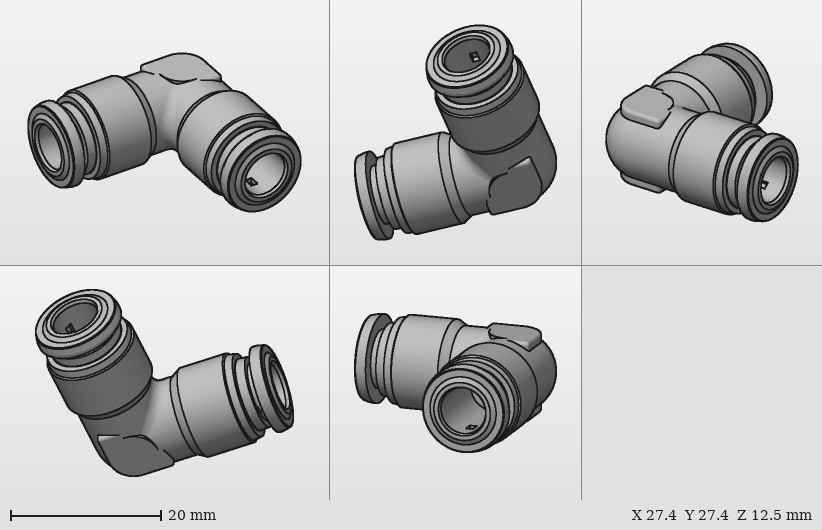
import cadquery as cq

elbow_radius = 5.5
crotch_radius = 1.5
overall_length = 27.35
body_diameter = 12.5
body_radius = body_diameter / 2
port_length = overall_length - body_radius

flare_start = 7.5
flare_end = 8.78
body_end = 15.32
body_chamfer_end = 15.48
body_rim_end = 16.55
gap_width = 0.08
sleeve_start = body_rim_end + gap_width
sleeve_end = 17.97
flange_start = 19.05
flange_taper_start = 19.58
flange_edge_start = 20.57
flange_end = 20.7

rim_start_radius = 6.0
rim_end_radius = 5.8
gap_radius = 4.92
sleeve_start_radius = 5.03
sleeve_end_radius = 4.92
neck_radius = 4.0
flange_radius = 6.0
flange_edge_radius = 5.77
flange_face_radius = 5.65
nose_base_radius = 4.68
nose_tip_radius = neck_radius

bore_radius = 3.17
mouth_radius = 3.36
mouth_depth = 0.5
bore_floor = flare_end
slit_width = 0.95
slit_start = body_rim_end
slit_overrun = 0.15
slit_end = sleeve_end + slit_overrun
lower_port_twist = 40

pad_radius = 3.5
pad_reach = 4.55
pad_round = 0.5


def revolve_about_x(points):
    """Turn a closed outline of (station, radius) points about the X axis."""
    return cq.Workplane("XY").polyline(points).close().revolve(360, (0, 0, 0), (1, 0, 0))


def as_lower_port(shape, twist=0):
    """Move a shape built for the +X port to the -Y port, first twisting it about its axis."""
    twisted = shape.rotate((0, 0, 0), (1, 0, 0), twist)
    return twisted.rotate((0, 0, 0), (0, 0, 1), -90)


def elbow():
    """Two equal round legs joined by a ball, with the inside corner rounded."""
    leg = cq.Workplane("YZ").circle(elbow_radius).extrude(flare_start)
    legs = leg.union(as_lower_port(leg))
    legs = legs.union(cq.Workplane("XY").sphere(elbow_radius))
    inside_corner = cq.selectors.BoxSelector(
        (0, 0, -elbow_radius), (elbow_radius, -elbow_radius, elbow_radius)
    )
    return legs.edges("%ELLIPSE").edges(inside_corner).fillet(crotch_radius)


def port():
    """Stepped outside of one push-in port, along +X."""
    return revolve_about_x([
        (flare_start, 0),
        (flare_start, elbow_radius),
        (flare_end, body_radius),
        (body_end, body_radius),
        (body_chamfer_end, rim_start_radius),
        (body_rim_end, rim_end_radius),
        (body_rim_end, gap_radius),
        (sleeve_start, gap_radius),
        (sleeve_start, sleeve_start_radius),
        (sleeve_end, sleeve_end_radius),
        (sleeve_end, neck_radius),
        (flange_start, neck_radius),
        (flange_start, flange_radius),
        (flange_taper_start, flange_radius),
        (flange_edge_start, flange_edge_radius),
        (flange_end, flange_face_radius),
        (flange_end, nose_base_radius),
        (port_length, nose_tip_radius),
        (port_length, 0),
    ])


def pads():
    """Rounded pads level with the top and bottom of the elbow, as one block through it."""
    height = 2 * elbow_radius
    side = pad_radius + pad_reach
    middle = (pad_reach - pad_radius) / 2
    block = cq.Workplane("XY").box(side, side, height).translate((middle, -middle, 0))
    block = block.edges("|Z and <X and >Y").fillet(pad_radius)
    block = block.edges("|Z").edges("(>X and >Y) or (<X and <Y)").fillet(pad_round)
    block = block.faces("|Z").edges().fillet(pad_round)
    inside_quarter = cq.Workplane("XY").box(side, side, height).translate((side / 2, -side / 2, 0))
    disc = cq.Workplane("XY").circle(pad_radius).extrude(elbow_radius, both=True)
    return block.cut(inside_quarter).union(disc.intersect(inside_quarter))


def bore():
    """Blind tube bore with a chamfered mouth, along +X."""
    return revolve_about_x([
        (bore_floor, 0),
        (bore_floor, bore_radius),
        (port_length - mouth_depth, bore_radius),
        (port_length, mouth_radius),
        (port_length, 0),
    ])


def slits():
    """Pair of opposite slits through the collet wall, above and below the +X port's axis."""
    length = slit_end - slit_start
    slot = cq.Workplane("XY").box(length, slit_width, 2 * neck_radius)
    slot = slot.translate((slit_start + length / 2, 0, 0))
    collet = cq.Workplane("YZ").circle(neck_radius).extrude(port_length)
    return slot.intersect(collet)


result = elbow().union(pads())
result = result.union(port()).union(as_lower_port(port()))
result = result.cut(bore()).cut(as_lower_port(bore()))
result = result.cut(slits()).cut(as_lower_port(slits(), lower_port_twist))